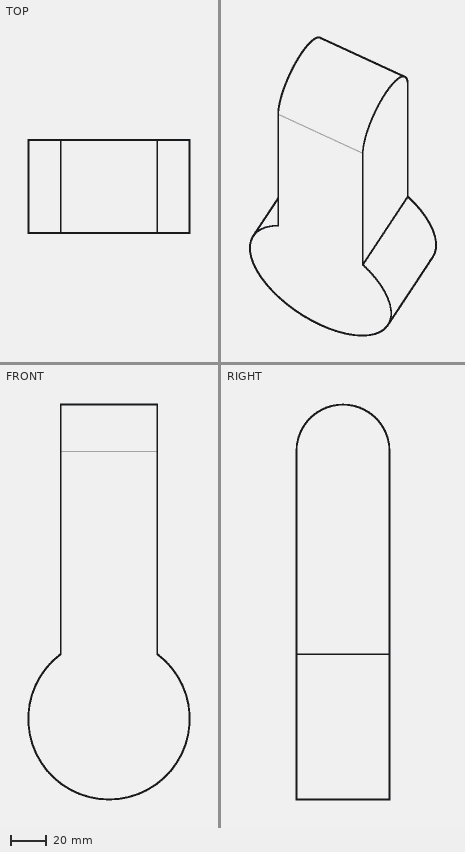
import cadquery as cq

total_height = 224.3
disc_diameter = 91.8
thickness = 53.0
arm_width = 55.0

disc_radius = disc_diameter / 2
tip_radius = thickness / 2
tip_center_height = total_height - disc_radius - tip_radius


def make_disc():
    """Round base with its axis along Y."""
    return cq.Workplane("XZ").circle(disc_radius).extrude(tip_radius, both=True)


def make_arm():
    """Upright bar rising from the disc centre to a fully rounded tip."""
    return (
        cq.Workplane("YZ")
        .moveTo(-tip_radius, 0)
        .lineTo(tip_radius, 0)
        .lineTo(tip_radius, tip_center_height)
        .threePointArc((0, tip_center_height + tip_radius), (-tip_radius, tip_center_height))
        .close()
        .extrude(arm_width / 2, both=True)
    )


result = make_disc().union(make_arm())